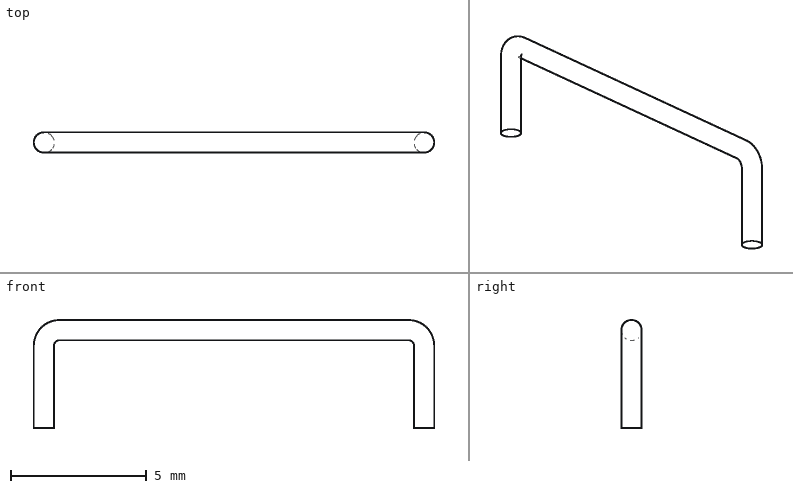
import cadquery as cq

length = 14.75
height = 3.98
wire_diameter = 0.75
bend_radius = 0.58

wire_radius = wire_diameter / 2
leg_x = length / 2 - wire_radius
bar_z = height - wire_radius
bend_start_z = bar_z - bend_radius
bar_end_x = leg_x - bend_radius

centreline = (
    cq.Workplane("XZ")
    .moveTo(-leg_x, 0)
    .lineTo(-leg_x, bend_start_z)
    .tangentArcPoint((-bar_end_x, bar_z), relative=False)
    .lineTo(bar_end_x, bar_z)
    .tangentArcPoint((leg_x, bend_start_z), relative=False)
    .lineTo(leg_x, 0)
)

result = cq.Workplane("XY").center(-leg_x, 0).circle(wire_radius).sweep(centreline)